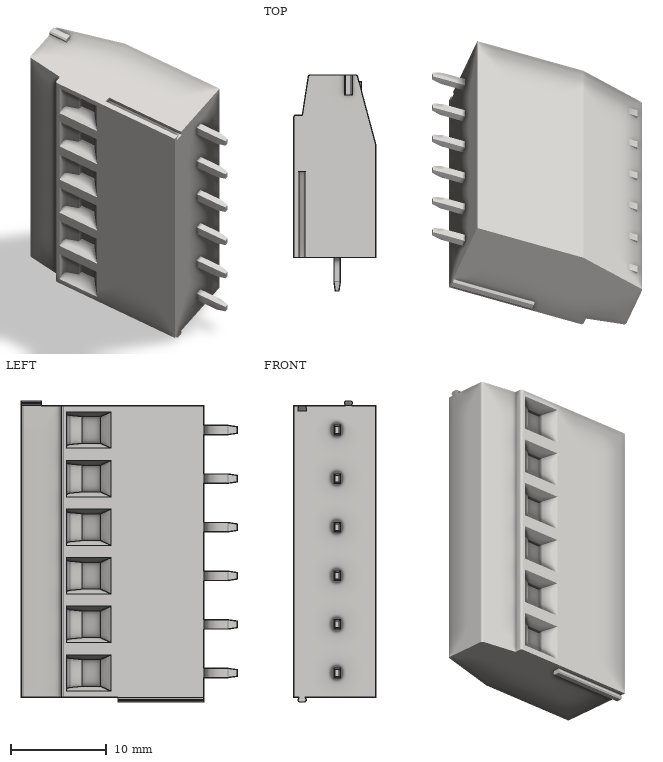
import cadquery as cq
import math


POLE_COUNT = 6
PITCH = 5.08
BODY_LENGTH = POLE_COUNT * PITCH
HALF_LENGTH = BODY_LENGTH / 2
POLE_CENTERS = [(i - (POLE_COUNT - 1) / 2) * PITCH for i in range(POLE_COUNT)]

BODY_DEPTH = 8.6
BODY_HEIGHT = 19.1
STEP_HEIGHT = 14.9
STEP_WIDTH = 0.9
TOP_FRONT_X = 1.55
TOP_BACK_X = 6.65
BACK_SLOPE_START = 11.8
EDGE_RADIUS = 0.25

POCKET_WIDTH = 3.8
POCKET_BOTTOM = 9.7
POCKET_TOP = 14.35
POCKET_FLOOR_BOTTOM = 10.8
LEDGE_EDGE = 12.75
DRAFT_DEPTH = 1.26
FLOOR_DEPTH = 1.72
SIDE_DRAFT = 0.4
LEDGE_ANGLE = math.radians(14)
POCKET_CORNER_RADIUS = 0.45

PIN_X = 4.55
PIN_THICKNESS = 0.7
PIN_WIDTH = 1.0
PIN_LENGTH = 3.5
PIN_TAPER_LENGTH = 1.0
TIP_THICKNESS = 0.4
TIP_WIDTH = 0.7

DOVETAIL_HEIGHT = 0.5
DOVETAIL_NECK = 0.65
DOVETAIL_WIDTH = 0.87
DOVETAIL_FLARE = 0.25
DOVETAIL_CHAMFER = 0.15
SEAT_DOVETAIL_X = 0.89
SEAT_DOVETAIL_LENGTH = 9.0
GROOVE_DEPTH = 0.55
TOP_DOVETAIL_X = 5.73
TOP_DOVETAIL_LENGTH = 2.1

LUG_X = 7.1
LUG_TOP = 18.4
LUG_WIDTH = 1.0


def make_body():
    section = [
        (0, 0),
        (BODY_DEPTH, 0),
        (BODY_DEPTH, BACK_SLOPE_START),
        (TOP_BACK_X, BODY_HEIGHT),
        (TOP_FRONT_X, BODY_HEIGHT),
        (STEP_WIDTH, STEP_HEIGHT),
        (0, STEP_HEIGHT),
    ]
    body = cq.Workplane("XY").polyline(section).close().extrude(HALF_LENGTH, both=True)
    rounded_corners = [
        (0, STEP_HEIGHT),
        (TOP_FRONT_X, BODY_HEIGHT),
        (TOP_BACK_X, BODY_HEIGHT),
    ]
    for x, y in rounded_corners:
        edge = cq.selectors.NearestToPointSelector((x, y, 0))
        body = body.edges("|Z").edges(edge).fillet(EDGE_RADIUS)
    return body


def make_pocket():
    """Pocket cutter for one pole, centred on Z = 0."""
    ledge_top_y = POCKET_TOP - POCKET_CORNER_RADIUS * (1 - math.sin(LEDGE_ANGLE))
    ledge_top_x = DRAFT_DEPTH - (ledge_top_y - LEDGE_EDGE) * math.tan(LEDGE_ANGLE)
    corner_center_x = ledge_top_x - POCKET_CORNER_RADIUS * math.cos(LEDGE_ANGLE)
    corner_center_y = POCKET_TOP - POCKET_CORNER_RADIUS
    arc_middle = (math.pi / 2 + LEDGE_ANGLE) / 2
    arc_middle_point = (
        corner_center_x + POCKET_CORNER_RADIUS * math.cos(arc_middle),
        corner_center_y + POCKET_CORNER_RADIUS * math.sin(arc_middle),
    )
    profile = (
        cq.Workplane("XY")
        .moveTo(0, POCKET_BOTTOM)
        .lineTo(DRAFT_DEPTH, POCKET_FLOOR_BOTTOM)
        .lineTo(DRAFT_DEPTH, LEDGE_EDGE)
        .lineTo(ledge_top_x, ledge_top_y)
        .threePointArc(arc_middle_point, (corner_center_x, POCKET_TOP))
        .lineTo(0, POCKET_TOP)
        .close()
        .extrude(POCKET_WIDTH / 2, both=True)
    )

    mouth = POCKET_WIDTH / 2
    inner = mouth - SIDE_DRAFT * DRAFT_DEPTH
    drafted_sides = (
        cq.Workplane("XZ")
        .polyline([(0, -mouth), (DRAFT_DEPTH, -inner), (DRAFT_DEPTH, inner), (0, mouth)])
        .close()
        .extrude(-BODY_HEIGHT)
    )
    straight_recess = cq.Workplane("XY").box(
        FLOOR_DEPTH - DRAFT_DEPTH,
        LEDGE_EDGE - POCKET_FLOOR_BOTTOM,
        2 * inner,
        centered=(False, False, True),
    ).translate((DRAFT_DEPTH, POCKET_FLOOR_BOTTOM, 0))
    return profile.intersect(drafted_sides).union(straight_recess)


def make_pin():
    """Pin for one pole, centred on Z = 0, with a tapered tip."""
    shank_length = PIN_LENGTH - PIN_TAPER_LENGTH
    shank = (
        cq.Workplane("XZ")
        .center(PIN_X, 0)
        .rect(PIN_THICKNESS, PIN_WIDTH)
        .extrude(shank_length)
    )
    tip = (
        cq.Workplane("XZ", origin=(PIN_X, -shank_length, 0))
        .rect(PIN_THICKNESS, PIN_WIDTH)
        .workplane(offset=PIN_TAPER_LENGTH)
        .rect(TIP_THICKNESS, TIP_WIDTH)
        .loft(ruled=True)
    )
    return shank.union(tip)


def make_tongue(x, y_start, length, root_z, outward):
    """Dovetail tongue along Y, growing from root_z in the outward Z direction."""
    half_neck = DOVETAIL_NECK / 2
    half_width = DOVETAIL_WIDTH / 2
    right_side = [
        (half_neck, 0),
        (half_width, DOVETAIL_FLARE),
        (half_width, DOVETAIL_HEIGHT - DOVETAIL_CHAMFER),
        (half_width - DOVETAIL_CHAMFER, DOVETAIL_HEIGHT),
    ]
    left_side = [(-u, v) for u, v in reversed(right_side)]
    section = [(x + u, root_z + outward * v) for u, v in right_side + left_side]
    return (
        cq.Workplane("XZ", origin=(0, y_start, 0))
        .polyline(section)
        .close()
        .extrude(-length)
    )


def make_groove():
    """Cutter for the groove that takes the seat tongue of a neighbouring block."""
    half_neck = DOVETAIL_NECK / 2
    half_width = DOVETAIL_WIDTH / 2
    flare_z = HALF_LENGTH - DOVETAIL_FLARE
    floor_z = HALF_LENGTH - GROOVE_DEPTH
    right_side = [(half_neck, HALF_LENGTH), (half_width, flare_z), (half_width, floor_z)]
    left_side = [(-u, z) for u, z in reversed(right_side)]
    section = [(SEAT_DOVETAIL_X + u, z) for u, z in right_side + left_side]
    return cq.Workplane("XZ").polyline(section).close().extrude(-SEAT_DOVETAIL_LENGTH)


def make_lug():
    """Lug for one pole, centred on Z = 0, with its outer face parallel to Y."""
    run_per_rise = (BODY_DEPTH - TOP_BACK_X) / (BODY_HEIGHT - BACK_SLOPE_START)
    lug_bottom = BODY_HEIGHT - (LUG_X - TOP_BACK_X) / run_per_rise
    return cq.Workplane("XY").box(
        LUG_X - TOP_BACK_X,
        LUG_TOP - lug_bottom,
        LUG_WIDTH,
        centered=(False, False, True),
    ).translate((TOP_BACK_X, lug_bottom, 0))


result = make_body().cut(make_groove())
result = result.union(make_tongue(SEAT_DOVETAIL_X, 0, SEAT_DOVETAIL_LENGTH, -HALF_LENGTH, -1))
top_tongue_start = BODY_HEIGHT - TOP_DOVETAIL_LENGTH
result = result.union(make_tongue(TOP_DOVETAIL_X, top_tongue_start, TOP_DOVETAIL_LENGTH, HALF_LENGTH, 1))

pocket = make_pocket()
pin = make_pin()
lug = make_lug()
for center_z in POLE_CENTERS:
    shift = (0, 0, center_z)
    result = result.cut(pocket.translate(shift))
    result = result.union(pin.translate(shift))
    result = result.union(lug.translate(shift))